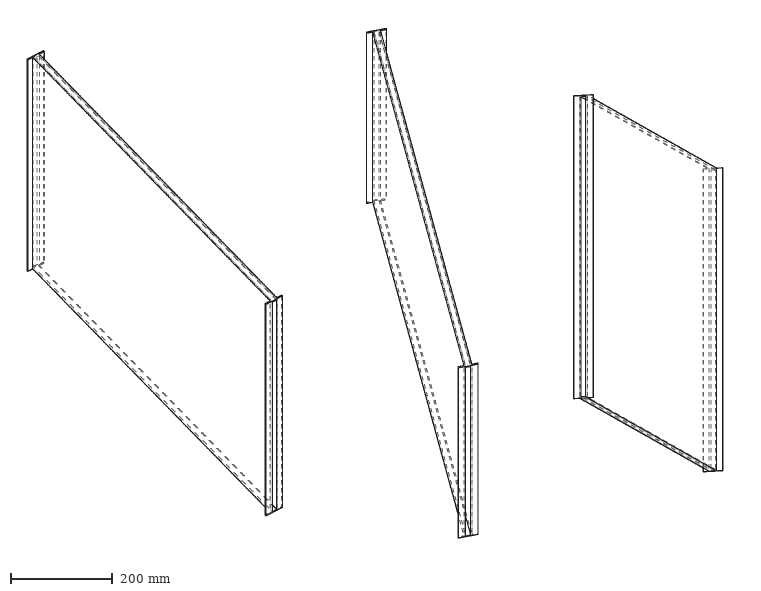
import cadquery as cq

LENGTH = 814.0
DEPTH = 40.0
HEIGHT = 607.0

SHEET_THICKNESS = 3.0

CAVITY_DEPTH = 10.0
PANEL_DEPTH = CAVITY_DEPTH + 2 * SHEET_THICKNESS

FIN_DEPTH = (DEPTH - PANEL_DEPTH) / 2

SIDES = (-1, 1)


def block(size, center):
    """Axis-aligned box of the given size about the given center."""
    return cq.Workplane("XY").box(*size).translate(center)


def walls():
    """Front and back sheets of the panel."""
    size = (LENGTH, SHEET_THICKNESS, HEIGHT)
    y_center = (PANEL_DEPTH - SHEET_THICKNESS) / 2
    return [block(size, (0, side * y_center, 0)) for side in SIDES]


def caps():
    """Top and bottom strips that close the cavity between the walls."""
    size = (LENGTH, CAVITY_DEPTH, SHEET_THICKNESS)
    z_center = (HEIGHT - SHEET_THICKNESS) / 2
    return [block(size, (0, 0, side * z_center)) for side in SIDES]


def fins():
    """Full-height strips standing out from the walls along their vertical ends."""
    size = (SHEET_THICKNESS, FIN_DEPTH, HEIGHT)
    x_center = (LENGTH - SHEET_THICKNESS) / 2
    y_center = (DEPTH - FIN_DEPTH) / 2
    return [
        block(size, (x_side * x_center, y_side * y_center, 0))
        for x_side in SIDES
        for y_side in SIDES
    ]


result = cq.Workplane("XY")
for piece in walls() + caps() + fins():
    result = result.union(piece, clean=False)